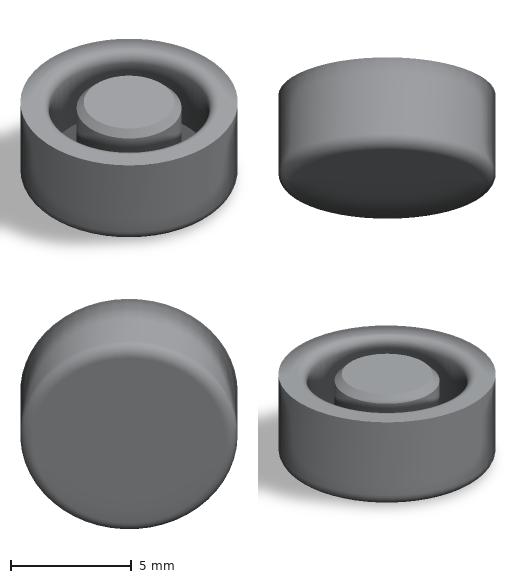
import cadquery as cq

outer_diameter = 9.0
height = 3.9
bottom_fillet = 0.495

cavity_diameter = 6.65
floor_thickness = 1.0
rim_fillet = 0.4

post_diameter = 4.35
post_chamfer = 0.3


def make_cup():
    """Cylindrical cup with a rounded base edge and a rounded inner rim."""
    body = cq.Workplane("XY").circle(outer_diameter / 2).extrude(height)
    body = body.faces("<Z").edges().fillet(bottom_fillet)
    cavity = (
        cq.Workplane("XY", origin=(0, 0, floor_thickness))
        .circle(cavity_diameter / 2)
        .extrude(height - floor_thickness)
    )
    cup = body.cut(cavity)
    inner_rim = cq.selectors.RadiusNthSelector(0)
    return cup.faces(">Z").edges(inner_rim).fillet(rim_fillet)


def make_post():
    """Solid post rising from the base, with a chamfered top edge."""
    post = cq.Workplane("XY").circle(post_diameter / 2).extrude(height)
    return post.faces(">Z").edges().chamfer(post_chamfer)


result = make_cup().union(make_post())